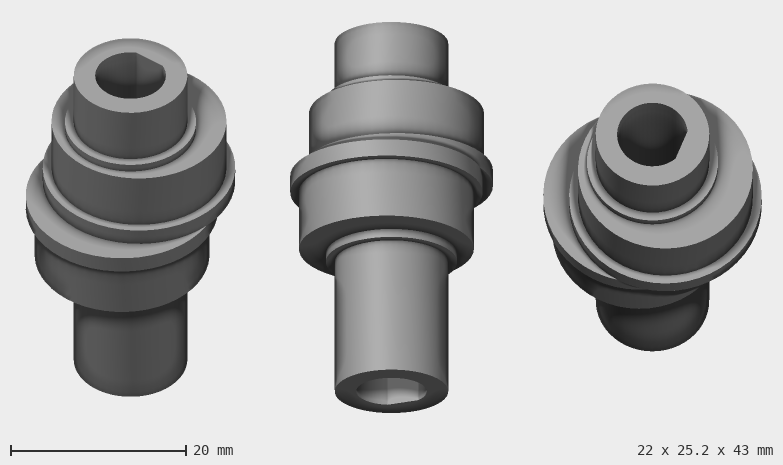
import cadquery as cq

total_height = 43.0
shaft_diameter = 13.0
collar_diameter = 15.0
cam_diameter = 20.0
flange_diameter = 22.0
cam_offset = 1.6

lower_shaft_length = 16.0
collar_thickness = 1.0
cam_length = 7.0

bore_diameter = 8.1
bore_flat_distance = 3.55

lower_cam_bottom = lower_shaft_length + collar_thickness
lower_flange_bottom = lower_cam_bottom + cam_length
upper_collar_top = total_height - cam_length
upper_cam_top = upper_collar_top - collar_thickness
upper_flange_top = upper_cam_top - cam_length
flange_joint = (lower_flange_bottom + upper_flange_top) / 2


def disc(diameter, bottom, top, y_center=0.0):
    """Vertical cylinder between two levels."""
    return (
        cq.Workplane("XY", origin=(0, y_center, bottom))
        .circle(diameter / 2)
        .extrude(top - bottom)
    )


def d_bore():
    """Cutter for the through bore, a cylinder trimmed by one flat."""
    cylinder = disc(bore_diameter, 0, total_height)
    keep_box = (
        cq.Workplane("XY", origin=(0, bore_flat_distance - bore_diameter / 2, 0))
        .rect(bore_diameter, bore_diameter)
        .extrude(total_height)
    )
    return cylinder.intersect(keep_box)


shaft = disc(shaft_diameter, 0, total_height)
collars = disc(collar_diameter, lower_shaft_length, upper_collar_top)

lower_cam = disc(cam_diameter, lower_cam_bottom, flange_joint, -cam_offset)
lower_flange = disc(flange_diameter, lower_flange_bottom, flange_joint, -cam_offset)
upper_cam = disc(cam_diameter, flange_joint, upper_cam_top, cam_offset)
upper_flange = disc(flange_diameter, flange_joint, upper_flange_top, cam_offset)

result = shaft.union(collars)
for section in (lower_cam, lower_flange, upper_cam, upper_flange):
    result = result.union(section)
result = result.cut(d_bore())